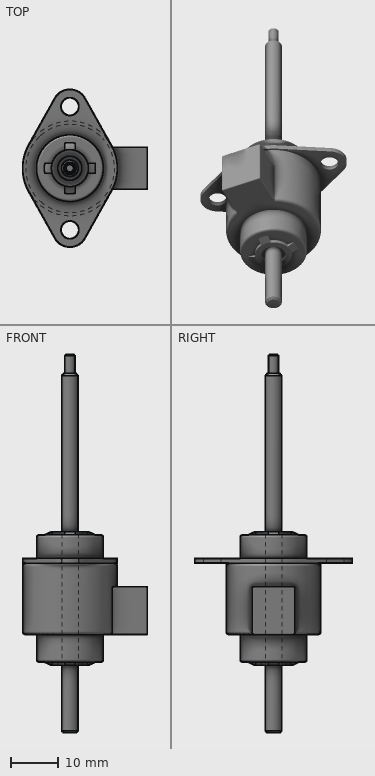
import cadquery as cq
import math


can_radius = 10.0
can_height = 15.05
can_edge_round = 0.65

flange_thickness = 1.0
flange_top = can_height + flange_thickness
screw_spacing = 26.0
screw_hole_diameter = 3.7
ear_radius = 3.65

upper_boss_height = 4.95
boss_radius = 7.05
boss_edge_round = 0.55
upper_boss_top = flange_top + upper_boss_height
lower_boss_bottom = -5.8

ring_height = 0.7
ring_radius = 3.9
recess_radius = 2.55
rib_reach = 5.4
rib_width = 2.2
rib_count = 4

connector_end = 16.36
connector_width = 8.9
connector_height = 10.1
connector_edge_round = 0.25

shaft_radius = 1.75
shaft_bottom = -20.75
shaft_length = 79.81
shaft_end_chamfer = 0.45
tip_radius = 1.1
tip_length = 4.0
tip_chamfer = 0.3


def cylinder(radius, bottom, top):
    return cq.Workplane("XY").workplane(offset=bottom).circle(radius).extrude(top - bottom)


def make_can():
    can = cylinder(can_radius, 0, can_height).faces("<Z or >Z").edges().fillet(can_edge_round)
    upper_boss = cylinder(boss_radius, 0, upper_boss_top).faces(">Z").edges().fillet(boss_edge_round)
    lower_boss = cylinder(boss_radius, lower_boss_bottom, can_height)
    lower_boss = lower_boss.faces("<Z").edges().fillet(boss_edge_round)
    return can.union(upper_boss).union(lower_boss)


def make_flange():
    """Diamond plate: two ears joined to the can's circle by tangent lines."""
    ear_y = screw_spacing / 2
    tangent_sine = (can_radius - ear_radius) / ear_y
    tangent_cosine = math.sqrt(1 - tangent_sine ** 2)
    hub_x = can_radius * tangent_cosine
    hub_y = can_radius * tangent_sine
    ear_x = ear_radius * tangent_cosine
    ear_tangent_y = ear_y + ear_radius * tangent_sine
    ear_end_y = ear_y + ear_radius
    plate = (
        cq.Workplane("XY").workplane(offset=can_height)
        .moveTo(hub_x, -hub_y)
        .threePointArc((can_radius, 0), (hub_x, hub_y))
        .lineTo(ear_x, ear_tangent_y)
        .threePointArc((0, ear_end_y), (-ear_x, ear_tangent_y))
        .lineTo(-hub_x, hub_y)
        .threePointArc((-can_radius, 0), (-hub_x, -hub_y))
        .lineTo(-ear_x, -ear_tangent_y)
        .threePointArc((0, -ear_end_y), (ear_x, -ear_tangent_y))
        .close()
        .extrude(flange_thickness)
    )
    screw_holes = (
        cq.Workplane("XY").workplane(offset=can_height)
        .pushPoints([(0, ear_y), (0, -ear_y)])
        .circle(screw_hole_diameter / 2)
        .extrude(flange_thickness)
    )
    return plate.cut(screw_holes)


def make_connector():
    block = (
        cq.Workplane("XY")
        .box(connector_end, connector_width, connector_height, centered=(False, True, False))
    )
    return block.edges("|X or >X").fillet(connector_edge_round)


def make_end_ring():
    """Ring standing on Z = 0, with ribs whose tops slope down along a cone."""
    cone = (
        cq.Workplane("XZ")
        .polyline([(0, 0), (-rib_reach, 0), (-ring_radius, ring_height), (0, ring_height)])
        .close()
        .revolve(360, (0, 0), (0, 1))
    )
    ring = cylinder(ring_radius, 0, ring_height)
    for index in range(rib_count):
        sector = (
            cq.Workplane("XY")
            .box(rib_reach, rib_width, ring_height, centered=(False, True, False))
            .rotate((0, 0, 0), (0, 0, 1), index * 360 / rib_count)
        )
        ring = ring.union(cone.intersect(sector))
    return ring.cut(cylinder(recess_radius, 0, ring_height))


def make_shaft():
    shaft_top = shaft_bottom + shaft_length
    shoulder = shaft_top - tip_length
    body = cylinder(shaft_radius, shaft_bottom, shoulder)
    body = body.faces("<Z or >Z").edges().chamfer(shaft_end_chamfer)
    tip = cylinder(tip_radius, shoulder, shaft_top).faces(">Z").edges().chamfer(tip_chamfer)
    return body.union(tip)


def make_housing():
    end_ring = make_end_ring()
    upper_ring = end_ring.translate((0, 0, upper_boss_top))
    lower_ring = end_ring.rotate((0, 0, 0), (1, 0, 0), 180).translate((0, 0, lower_boss_bottom))
    shaft_bore = cylinder(shaft_radius, lower_boss_bottom, upper_boss_top)
    return (
        make_can()
        .union(make_flange())
        .union(make_connector())
        .union(upper_ring)
        .union(lower_ring)
        .cut(shaft_bore)
    )


housing = make_housing()
shaft = make_shaft()

result = cq.Compound.makeCompound([housing.val(), shaft.val()])